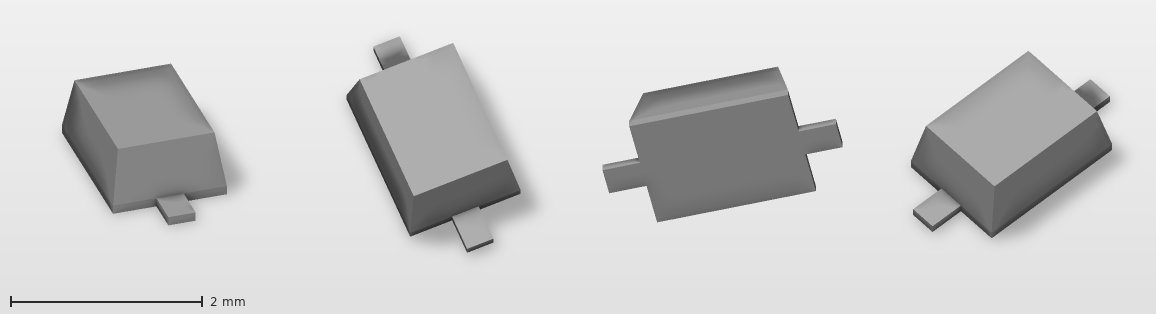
import cadquery as cq

overall_length = 2.5
body_length = 1.7
body_width = 1.25
body_height = 0.7

base_height = 0.1
top_length = 1.445
top_width = 1.06

lead_width = 0.3
lead_thickness = base_height


def make_body():
    """Straight base with a tapered top that narrows differently in X and Y."""
    base = cq.Workplane("XY").rect(body_length, body_width).extrude(base_height)
    taper = (
        cq.Workplane("XY", origin=(0, 0, base_height))
        .rect(body_length, body_width)
        .workplane(offset=body_height - base_height)
        .rect(top_length, top_width)
        .loft(ruled=True)
    )
    return base.union(taper)


def make_leads():
    """One strip through the body that sticks out as a lead at each end."""
    return cq.Workplane("XY").rect(overall_length, lead_width).extrude(lead_thickness)


result = make_body().union(make_leads())